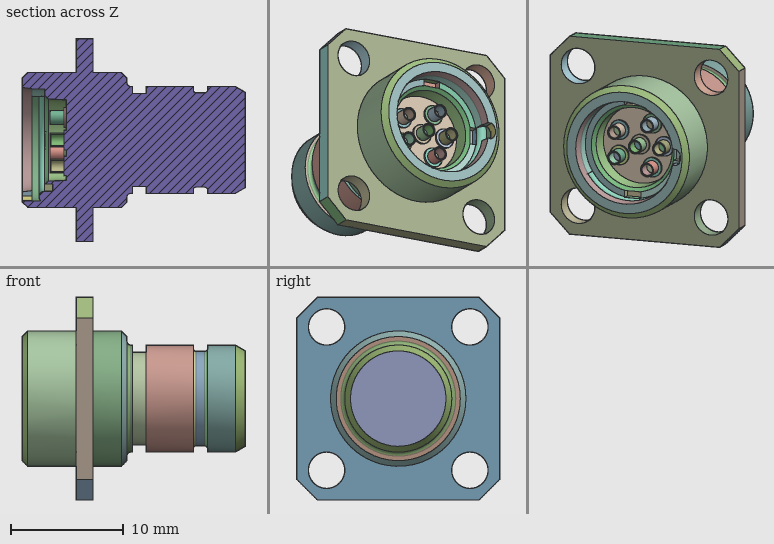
import cadquery as cq
import math

overall_length = 19.8
shell_radius = 6.0
shell_chamfer = 0.5
shell_end = 9.3
collar_end = 9.8
neck_end = 11.0
body_radius = 4.75
body_end = 15.2
neck_radius = 4.13
collar_radius = body_radius
collar_fillet = 0.35
snap_groove_end = 16.45
snap_groove_radius = 4.2
snap_groove_front_fillet = 0.2
snap_groove_rear_fillet = 0.28
tail_chamfer_length = 0.9
tail_chamfer_angle = 30
tail_chamfer_depth = tail_chamfer_length * math.tan(math.radians(tail_chamfer_angle))

flange_size = 18.0
flange_start = 4.8
flange_thickness = 1.5
flange_corner_chamfer = 1.85
mount_hole_diameter = 3.2
mount_hole_pitch = 12.7

mouth_radius = 4.65
socket_radius = 4.53
mouth_depth = 0.9
ledge_depth = 2.0
cup_chamfer_radius = 3.96
cup_rim_radius = 3.63
cup_floor_radius = 3.56
cup_floor_depth = 3.9
cup_chamfer = cup_chamfer_radius - cup_rim_radius

notch_width = 1.55
notch_inner_reach = 3.9
notch_depth = 0.7
notch_angles = (90, 180, 270)

groove_radius = 5.4
groove_start = mouth_depth
bead_radius = 0.5
bead_center_radius = socket_radius + bead_radius
groove_start_angle = -32
groove_sweep = 158
slot_half_width = 0.73
slot_tip_reach = 5.36
slot_straight_reach = 4.95
slot_inner_reach = 4.0

contact_circle_radius = 2.3
contact_angles = (0, 60, 150, 210, 300)
contact_tip_depth = 2.5
contact_radius = 0.62
contact_bore_radius = 0.5
contact_bore_depth = 1.2
contact_countersink = 0.06
contact_base_radius = 0.88
contact_base_height = 0.2


def revolve_about_x(profile, angle=360):
    return profile.close().revolve(angle, (0, 0, 0), (1, 0, 0))


def arc_middle(center_x, center_r, radius, degrees):
    """Point on an arc of the profile, at the given direction from its centre."""
    angle = math.radians(degrees)
    return (center_x + radius * math.cos(angle), center_r + radius * math.sin(angle))


def make_shell():
    shell_end_radius = shell_radius - shell_chamfer
    fillet_end = shell_end + collar_fillet
    collar_fillet_top = collar_radius + collar_fillet
    front_floor = body_end + snap_groove_front_fillet
    rear_floor = snap_groove_end - snap_groove_rear_fillet
    front_fillet_r = snap_groove_radius + snap_groove_front_fillet
    rear_fillet_r = snap_groove_radius + snap_groove_rear_fillet
    profile = (
        cq.Workplane("XY")
        .moveTo(0, 0)
        .lineTo(0, shell_end_radius)
        .lineTo(shell_chamfer, shell_radius)
        .lineTo(shell_end - shell_chamfer, shell_radius)
        .lineTo(shell_end, shell_end_radius)
        .lineTo(shell_end, collar_fillet_top)
        .threePointArc(
            arc_middle(fillet_end, collar_fillet_top, collar_fillet, 225),
            (fillet_end, collar_radius),
        )
        .lineTo(collar_end, collar_radius)
        .lineTo(collar_end, neck_radius)
        .lineTo(neck_end, neck_radius)
        .lineTo(neck_end, body_radius)
        .lineTo(body_end, body_radius)
        .lineTo(body_end, front_fillet_r)
        .threePointArc(
            arc_middle(front_floor, front_fillet_r, snap_groove_front_fillet, 225),
            (front_floor, snap_groove_radius),
        )
        .lineTo(rear_floor, snap_groove_radius)
        .threePointArc(
            arc_middle(rear_floor, rear_fillet_r, snap_groove_rear_fillet, 315),
            (snap_groove_end, rear_fillet_r),
        )
        .lineTo(snap_groove_end, body_radius)
        .lineTo(overall_length - tail_chamfer_length, body_radius)
        .lineTo(overall_length, body_radius - tail_chamfer_depth)
        .lineTo(overall_length, 0)
    )
    return revolve_about_x(profile)


def make_flange():
    plate = (
        cq.Workplane("YZ")
        .workplane(offset=flange_start)
        .rect(flange_size, flange_size)
        .extrude(flange_thickness)
        .edges("|X")
        .chamfer(flange_corner_chamfer)
    )
    holes = (
        cq.Workplane("YZ")
        .workplane(offset=flange_start)
        .rect(mount_hole_pitch, mount_hole_pitch, forConstruction=True)
        .vertices()
        .circle(mount_hole_diameter / 2)
        .extrude(flange_thickness)
    )
    return plate.cut(holes)


def make_socket_cavity():
    profile = (
        cq.Workplane("XY")
        .moveTo(0, 0)
        .lineTo(0, mouth_radius)
        .lineTo(mouth_depth, socket_radius)
        .lineTo(ledge_depth, socket_radius)
        .lineTo(ledge_depth, cup_chamfer_radius)
        .lineTo(ledge_depth + cup_chamfer, cup_rim_radius)
        .lineTo(cup_floor_depth, cup_floor_radius)
        .lineTo(cup_floor_depth, 0)
    )
    return revolve_about_x(profile)


def make_ledge_notch(angle):
    height = socket_radius - notch_inner_reach
    notch = cq.Workplane("XY").box(notch_depth, height, notch_width, centered=(False, False, True))
    notch = notch.translate((ledge_depth, notch_inner_reach, 0))
    return notch.rotate((0, 0, 0), (1, 0, 0), angle)


def make_bayonet_groove():
    """Undercut around the lower wall, with a rounded bead standing on its rear wall."""
    profile = (
        cq.Workplane("XY")
        .moveTo(groove_start, slot_inner_reach)
        .lineTo(groove_start, groove_radius)
        .lineTo(ledge_depth, groove_radius)
        .lineTo(ledge_depth, slot_inner_reach)
    )
    bead = (
        cq.Workplane("XY")
        .center(ledge_depth, bead_center_radius)
        .circle(bead_radius)
        .revolve(360, (0, -bead_center_radius, 0), (1, -bead_center_radius, 0))
    )
    groove = revolve_about_x(profile, groove_sweep)
    groove = groove.rotate((0, 0, 0), (1, 0, 0), groove_start_angle - groove_sweep)
    return groove.cut(bead)


def make_entry_slot():
    return (
        cq.Workplane("YZ")
        .moveTo(-slot_inner_reach, -slot_half_width)
        .lineTo(-slot_straight_reach, -slot_half_width)
        .threePointArc((-slot_tip_reach, 0), (-slot_straight_reach, slot_half_width))
        .lineTo(-slot_inner_reach, slot_half_width)
        .close()
        .extrude(groove_start)
    )


def make_contact(y, z):
    base_front = cup_floor_depth - contact_base_height
    bore_end = contact_tip_depth + contact_bore_depth
    profile = (
        cq.Workplane("XY")
        .moveTo(bore_end, 0)
        .lineTo(bore_end, contact_bore_radius)
        .lineTo(contact_tip_depth + contact_countersink, contact_bore_radius)
        .lineTo(contact_tip_depth, contact_bore_radius + contact_countersink)
        .lineTo(contact_tip_depth, contact_radius)
        .lineTo(base_front, contact_radius)
        .lineTo(base_front, contact_base_radius)
        .lineTo(cup_floor_depth, contact_base_radius)
        .lineTo(cup_floor_depth, 0)
    )
    return revolve_about_x(profile).translate((0, y, z))


result = make_shell().union(make_flange()).cut(make_socket_cavity())
result = result.cut(make_bayonet_groove()).cut(make_entry_slot())
for notch_angle in notch_angles:
    result = result.cut(make_ledge_notch(notch_angle))
result = result.union(make_contact(0, 0))
for contact_angle in contact_angles:
    direction = math.radians(contact_angle)
    contact_y = -contact_circle_radius * math.cos(direction)
    contact_z = contact_circle_radius * math.sin(direction)
    result = result.union(make_contact(contact_y, contact_z))